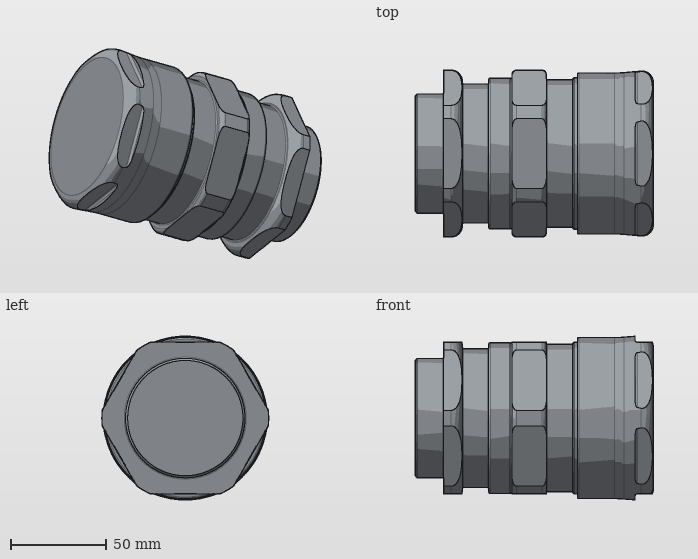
import cadquery as cq
import math


nut_start = 15.0
neck_start = 25.0
collar_start = 38.8
coupling_start = 50.0
barrel_start = 69.1
ring_start = 82.9
cap_start = 85.4
cap_end = 125.4

across_flats = 79.9
flat_distance = across_flats / 2
hex_corner_diameter = 87.9
hex_corner_radius = hex_corner_diameter / 2
across_corners = across_flats / math.cos(math.radians(30))

thread_radius = 63.0 / 2
thread_chamfer = 1.1
neck_radius = 73.2 / 2
collar_radius = 79.5 / 2
edge_round = 0.9
shoulder_length = 0.94
barrel_radius = 77.8 / 2
ring_radius = 80.0 / 2
ring_chamfer = 0.8
root_fillet = 0.6

nut_round = 6.0
coupling_round = 2.4

cap_radius = 84.9 / 2
cap_bend_start = 105.0
cap_bend_end = 110.0
cap_taper = math.radians(5)
cap_round = 6.0
cap_flats_start = 115.8
cap_flat_fillet = 1.3


def turned(outline):
    """Solid of revolution about X from (x, radius) points; the axis side is closed here."""
    first_x = outline[0][0]
    last_x = outline[-1][0]
    points = [(first_x, 0), *outline, (last_x, 0)]
    return cq.Workplane("XY").polyline(points).close().revolve(360, (0, 0), (1, 0))


def cylinder(start, end, radius):
    return turned([(start, radius), (end, radius)])


def hex_prism(start, end):
    """Hexagonal prism along X with two flats facing +Z and -Z."""
    section = cq.Workplane("YZ", origin=(start, 0, 0)).polygon(6, across_corners)
    return section.extrude(end - start)


def fillet_ring(wall_x, radius, direction):
    """Concave fillet round a shaft, on the side of the wall given by direction (+1 or -1 along X)."""
    arc_x = wall_x + direction * root_fillet
    arc_radius = radius + root_fillet
    arc_offset = root_fillet * math.sqrt(0.5)
    return (
        cq.Workplane("XY")
        .moveTo(wall_x, radius)
        .lineTo(wall_x, arc_radius)
        .threePointArc(
            (arc_x - direction * arc_offset, arc_radius - arc_offset),
            (arc_x, radius),
        )
        .close()
        .revolve(360, (0, 0), (1, 0))
    )


def make_entry_body():
    """Threaded spigot, hexagon, neck and collar in one piece, with filleted roots."""
    spigot = cylinder(0, nut_start, thread_radius)
    spigot = spigot.faces("<X").edges().chamfer(thread_chamfer)
    hexagon = cylinder(nut_start, neck_start, hex_corner_radius)
    hexagon = hexagon.faces(">X").edges().fillet(nut_round)
    hexagon = hexagon.intersect(hex_prism(nut_start, neck_start))
    neck = cylinder(neck_start, collar_start, neck_radius)
    collar = cylinder(collar_start, coupling_start, collar_radius)
    collar = collar.faces("<X").edges().fillet(edge_round)
    return (
        spigot.union(hexagon)
        .union(neck)
        .union(collar)
        .union(fillet_ring(nut_start, thread_radius, -1))
        .union(fillet_ring(neck_start, neck_radius, 1))
        .union(fillet_ring(collar_start, neck_radius, -1))
    )


def make_coupling():
    """Hexagon with a rounded shoulder that bears on the collar, and a round barrel behind it."""
    hex_start = coupling_start + shoulder_length
    blank = cylinder(hex_start, barrel_start, hex_corner_radius)
    blank = blank.faces("<X or >X").edges().fillet(coupling_round)
    hexagon = blank.intersect(hex_prism(hex_start, barrel_start))
    shoulder = cylinder(coupling_start, hex_start, collar_radius)
    shoulder = shoulder.faces("<X").edges().fillet(edge_round)
    barrel = cylinder(barrel_start, ring_start, barrel_radius)
    return hexagon.union(shoulder).union(barrel).union(fillet_ring(barrel_start, barrel_radius, 1))


def make_ring():
    blank = cylinder(ring_start, cap_start, ring_radius)
    return blank.faces("<X").edges().chamfer(ring_chamfer)


def make_cap():
    """Cap that bends gently into a taper, with a rounded end and six wrench flats."""
    bend_radius = (cap_bend_end - cap_bend_start) / math.sin(cap_taper)

    def bend_point(angle):
        x = cap_bend_start + bend_radius * math.sin(angle)
        return x, cap_radius + bend_radius * (1 - math.cos(angle))

    taper_start_radius = bend_point(cap_taper)[1]
    end_radius = taper_start_radius + (cap_end - cap_bend_end) * math.tan(cap_taper)
    blank = (
        cq.Workplane("XY")
        .moveTo(cap_start, 0)
        .lineTo(cap_start, cap_radius)
        .lineTo(cap_bend_start, cap_radius)
        .threePointArc(bend_point(cap_taper / 2), bend_point(cap_taper))
        .lineTo(cap_end, end_radius)
        .lineTo(cap_end, 0)
        .close()
        .revolve(360, (0, 0), (1, 0))
    )
    blank = blank.faces("<X").edges().fillet(edge_round)
    blank = blank.faces(">X").edges().fillet(cap_round)

    block_length = cap_end - cap_flats_start
    block_height = end_radius - flat_distance
    block = (
        cq.Workplane("XY")
        .box(block_length, across_corners, block_height, centered=(False, True, False))
        .edges("<X and <Z")
        .fillet(cap_flat_fillet)
        .translate((cap_flats_start, 0, flat_distance))
    )
    for index in range(6):
        blank = blank.cut(block.rotate((0, 0, 0), (1, 0, 0), index * 60))
    return blank


entry_body = make_entry_body()
coupling = make_coupling()
ring = make_ring()
cap = make_cap()

result = cq.Compound.makeCompound([
    entry_body.val(),
    coupling.val(),
    ring.val(),
    cap.val(),
])